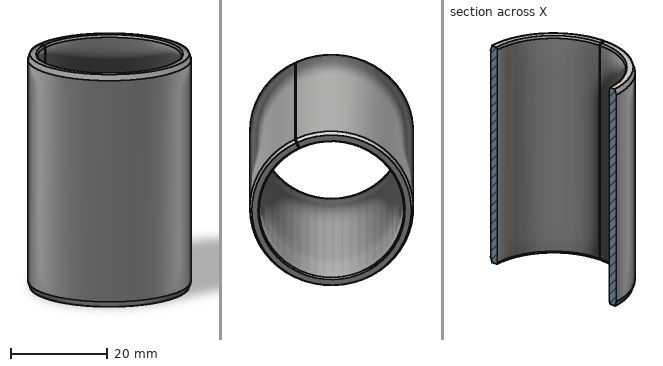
import cadquery as cq
import math

outer_diameter = 34.0
wall_thickness = 2.0
length = 50.0

outer_chamfer_length = 1.2
outer_chamfer_angle = 20.0

bore_chamfer_length = 0.5
bore_chamfer_angle = 30.0

joint_gap_angle = 1.0

outer_radius = outer_diameter / 2
bore_radius = outer_radius - wall_thickness
outer_chamfer_depth = outer_chamfer_length * math.tan(math.radians(outer_chamfer_angle))
bore_chamfer_depth = bore_chamfer_length * math.tan(math.radians(bore_chamfer_angle))


def make_wall_section():
    """Chamfered wall section in the XZ plane, on the -X side of the axis."""
    end_outer_radius = outer_radius - outer_chamfer_depth
    end_bore_radius = bore_radius + bore_chamfer_depth
    return (
        cq.Workplane("XZ")
        .moveTo(-end_bore_radius, 0)
        .lineTo(-end_outer_radius, 0)
        .lineTo(-outer_radius, outer_chamfer_length)
        .lineTo(-outer_radius, length - outer_chamfer_length)
        .lineTo(-end_outer_radius, length)
        .lineTo(-end_bore_radius, length)
        .lineTo(-bore_radius, length - bore_chamfer_length)
        .lineTo(-bore_radius, bore_chamfer_length)
        .close()
    )


def make_split_bush():
    """Sweep the section around the Z axis, stopping short by the joint gap."""
    axis_start = (0, 0, 0)
    axis_end = (0, 1, 0)
    return make_wall_section().revolve(360 - joint_gap_angle, axis_start, axis_end)


result = make_split_bush()